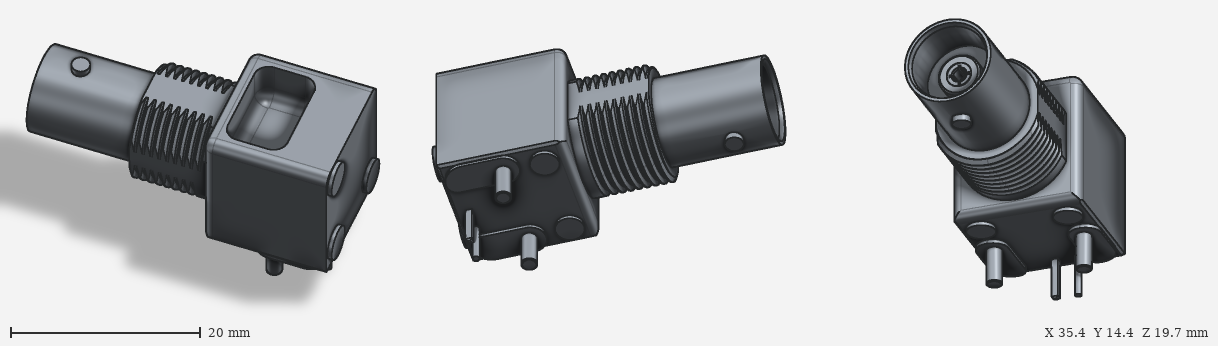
import cadquery as cq

BARREL_DIAMETER = 9.65
BORE_DIAMETER = 8.4
BORE_FLOOR_DIAMETER = 8.0
MOUTH_DIAMETER = 8.86
MOUTH_DEPTH = 0.5
BORE_DEPTH = 4.8
STUD_DIAMETER = 1.98
STUD_X = 4.26
STUD_REACH = 5.54

INSULATOR_DIAMETER = 4.7
INSULATOR_LENGTH = 1.4
INSULATOR_CHAMFER = 0.22
CONTACT_RECESS_DIAMETER = 2.74
CONTACT_RECESS_DEPTH = 0.1
CONTACT_DIAMETER = 2.24
CONTACT_LEAD_IN_DIAMETER = 1.72
CONTACT_BORE_DIAMETER = 1.42
CONTACT_BORE_DEPTH = 2.0
CONTACT_TIP_DEPTH = 0.5
CONTACT_SLOT_WIDTH = 0.25

BUSHING_START_X = 12.0
THREAD_DIAMETER = 12.7
THREAD_ROOT_DIAMETER = 11.62
THREAD_PITCH = 25.4 / 28
FULL_THREAD_TURNS = 9
LAST_THREAD_TURN = 0.75
THREAD_START_X = BUSHING_START_X - 1.02 * THREAD_PITCH
THREAD_CREST_WIDTH = THREAD_PITCH * 7 / 8
THREAD_ROOT_WIDTH = THREAD_PITCH / 4
BUSHING_CHAMFER_LENGTH = 0.25
BUSHING_CHAMFER_HEIGHT = 0.45
CUTTER_OVERLAP = 0.05
BUSHING_SIDE_FLAT = 5.7
BUSHING_TOP_FLAT = 5.54

HOUSING_FRONT_X = 20.9
HOUSING_REAR_X = 34.9
HOUSING_LENGTH = HOUSING_REAR_X - HOUSING_FRONT_X
HOUSING_WIDTH = 14.4
HOUSING_TOP_Z = 7.55
HOUSING_BOTTOM_Z = -7.55
HOUSING_HEIGHT = HOUSING_TOP_Z - HOUSING_BOTTOM_Z
TOP_EDGE_RADIUS = 1.2
FRONT_EDGE_RADIUS = 1.05
BOTTOM_CHAMFER = 0.3

POCKET_LENGTH = 6.75
POCKET_WIDTH = 10.85
POCKET_CENTRE_X = 25.8
POCKET_DEPTH = 4.85
POCKET_CORNER_RADIUS = 1.6
POCKET_FLOOR_RADIUS = 1.5

REAR_BOSS_DIAMETER = 3.8
REAR_BOSS_HEIGHT = 0.5
REAR_BOSS_CENTRES = ((-5.05, 5.55), (-5.05, -4.65), (4.95, -4.65))

STANDOFF_BOTTOM_Z = -8.0
STANDOFF_HEIGHT = HOUSING_BOTTOM_Z - STANDOFF_BOTTOM_Z
FRONT_STANDOFF_DIAMETER = 3.13
FRONT_STANDOFF_X = 23.66
FRONT_STANDOFF_Y = 4.87
PAD_START_X = 26.35
PAD_END_X = 34.5
PAD_INNER_Y = 3.42
PAD_OUTER_Y = 6.98
PAD_FRONT_RADIUS = 1.75
PAD_REAR_OUTER_RADIUS = 2.3
PAD_REAR_INNER_RADIUS = 1.2

POST_DIAMETER = 1.72
POST_X = 28.15
POST_Y = 5.03
POST_BOTTOM_Z = -12.03
POST_CHAMFER = 0.12
PIN_SIZE = 0.72
PIN_X = 33.27
GROUND_PIN_Y = -2.54
PIN_BOTTOM_Z = -12.15
PIN_TIP_CHAMFER = 0.2


def rod_x(diameter, start_x, end_x, y=0, z=0):
    """Round rod parallel to X."""
    return (
        cq.Workplane("YZ", origin=(start_x, y, z))
        .circle(diameter / 2)
        .extrude(end_x - start_x)
    )


def rod_down(diameter, x, y, top_z, bottom_z):
    """Round rod parallel to Z."""
    return (
        cq.Workplane("XY", origin=(x, y, bottom_z))
        .circle(diameter / 2)
        .extrude(top_z - bottom_z)
    )


def make_housing_block():
    block = cq.Workplane("XY").box(
        HOUSING_LENGTH, HOUSING_WIDTH, HOUSING_HEIGHT, centered=(False, True, False)
    )
    return block.translate((HOUSING_FRONT_X, 0, HOUSING_BOTTOM_Z))


def make_housing():
    rounded = make_housing_block().edges("|X and >Z").fillet(TOP_EDGE_RADIUS)
    rounded = rounded.faces("<X").edges().fillet(FRONT_EDGE_RADIUS)
    chamfered = make_housing_block().edges("(|X and <Z) or (>X and <Z)").chamfer(BOTTOM_CHAMFER)
    return rounded.intersect(chamfered).cut(make_pocket())


def make_pocket():
    pocket = (
        cq.Workplane("XY", origin=(POCKET_CENTRE_X, 0, HOUSING_TOP_Z))
        .rect(POCKET_LENGTH, POCKET_WIDTH)
        .extrude(-POCKET_DEPTH)
    )
    pocket = pocket.edges("|Z").fillet(POCKET_CORNER_RADIUS)
    return pocket.faces("<Z").edges().fillet(POCKET_FLOOR_RADIUS)


def make_groove(turns, start_x):
    """Helical groove around the barrel axis, starting below the axis at start_x."""
    root_radius = THREAD_ROOT_DIAMETER / 2
    crest_radius = THREAD_DIAMETER / 2
    flank_slope = (THREAD_CREST_WIDTH - THREAD_ROOT_WIDTH) / 2 / (crest_radius - root_radius)
    outer_radius = crest_radius + CUTTER_OVERLAP
    outer_half_width = THREAD_CREST_WIDTH / 2 + CUTTER_OVERLAP * flank_slope
    root_half_width = THREAD_ROOT_WIDTH / 2
    helix = cq.Wire.makeHelix(THREAD_PITCH, THREAD_PITCH * turns, root_radius)
    groove = (
        cq.Workplane("XZ")
        .moveTo(root_radius, -root_half_width)
        .lineTo(outer_radius, -outer_half_width)
        .lineTo(outer_radius, outer_half_width)
        .lineTo(root_radius, root_half_width)
        .close()
        .sweep(cq.Workplane(helix), isFrenet=True)
    )
    groove = groove.rotate((0, 0, 0), (0, 1, 0), 90)
    return groove.translate((start_x, 0, 0))


def make_bushing():
    bottom_z = -THREAD_DIAMETER / 2
    flats = cq.Workplane("XY").box(
        HOUSING_FRONT_X,
        2 * BUSHING_SIDE_FLAT,
        BUSHING_TOP_FLAT - bottom_z,
        centered=(False, True, False),
    )
    bushing = rod_x(THREAD_DIAMETER, BUSHING_START_X, HOUSING_FRONT_X)
    bushing = bushing.faces("<X").chamfer(BUSHING_CHAMFER_LENGTH, BUSHING_CHAMFER_HEIGHT)
    bushing = bushing.intersect(flats.translate((0, 0, bottom_z)))
    for turn in range(FULL_THREAD_TURNS):
        bushing = bushing.cut(make_groove(1, THREAD_START_X + turn * THREAD_PITCH))
    last_start_x = THREAD_START_X + FULL_THREAD_TURNS * THREAD_PITCH
    return bushing.cut(make_groove(LAST_THREAD_TURN, last_start_x))


def make_barrel():
    barrel = rod_x(BARREL_DIAMETER, 0, HOUSING_FRONT_X)
    studs = rod_down(STUD_DIAMETER, STUD_X, 0, STUD_REACH, -STUD_REACH)
    barrel = barrel.union(studs)
    bore = (
        cq.Workplane("XY")
        .lineTo(0, MOUTH_DIAMETER / 2)
        .lineTo(MOUTH_DEPTH, BORE_DIAMETER / 2)
        .lineTo(BORE_DEPTH, BORE_FLOOR_DIAMETER / 2)
        .lineTo(BORE_DEPTH, 0)
        .close()
        .revolve(360, (0, 0, 0), (1, 0, 0))
    )
    return barrel.cut(bore).union(make_insulator()).cut(make_contact_socket())


def make_insulator():
    insulator = rod_x(INSULATOR_DIAMETER, BORE_DEPTH - INSULATOR_LENGTH, BORE_DEPTH)
    return insulator.faces("<X").chamfer(INSULATOR_CHAMFER)


def make_contact_socket():
    """Hollow of the socket contact: recess, tapered lead-in, bore and four slots."""
    face_x = BORE_DEPTH - INSULATOR_LENGTH
    rim_x = face_x + CONTACT_RECESS_DEPTH
    lead_in_radius = CONTACT_LEAD_IN_DIAMETER / 2
    bore_radius = CONTACT_BORE_DIAMETER / 2
    bore_end_x = rim_x + CONTACT_BORE_DEPTH
    socket = (
        cq.Workplane("XY")
        .moveTo(face_x, 0)
        .lineTo(face_x, CONTACT_RECESS_DIAMETER / 2)
        .lineTo(rim_x, CONTACT_RECESS_DIAMETER / 2)
        .lineTo(rim_x, lead_in_radius)
        .lineTo(rim_x + lead_in_radius - bore_radius, bore_radius)
        .lineTo(bore_end_x, bore_radius)
        .lineTo(bore_end_x + CONTACT_TIP_DEPTH, 0)
        .close()
        .revolve(360, (0, 0, 0), (1, 0, 0))
    )
    slots = (
        cq.Workplane("YZ", origin=(rim_x, 0, 0))
        .rect(CONTACT_DIAMETER, CONTACT_SLOT_WIDTH)
        .extrude(CONTACT_BORE_DEPTH)
    )
    crossed_slots = slots.rotate((0, 0, 0), (1, 0, 0), 90)
    return socket.union(slots).union(crossed_slots)


def make_rear_bosses():
    bosses = cq.Workplane("XY")
    for boss_y, boss_z in REAR_BOSS_CENTRES:
        boss_end_x = HOUSING_REAR_X + REAR_BOSS_HEIGHT
        bosses = bosses.add(rod_x(REAR_BOSS_DIAMETER, HOUSING_REAR_X, boss_end_x, boss_y, boss_z))
    return bosses.combine()


def make_foot():
    """Standoff, pad and board post on the +Y side."""
    standoff = rod_down(
        FRONT_STANDOFF_DIAMETER,
        FRONT_STANDOFF_X,
        FRONT_STANDOFF_Y,
        HOUSING_BOTTOM_Z,
        STANDOFF_BOTTOM_Z,
    )
    pad = (
        cq.Workplane("XY", origin=(PAD_START_X, PAD_INNER_Y, STANDOFF_BOTTOM_Z))
        .rect(PAD_END_X - PAD_START_X, PAD_OUTER_Y - PAD_INNER_Y, centered=False)
        .extrude(STANDOFF_HEIGHT)
    )
    pad = pad.edges("|Z and <X").fillet(PAD_FRONT_RADIUS)
    pad = pad.edges("|Z and >X and >Y").fillet(PAD_REAR_OUTER_RADIUS)
    pad = pad.edges("|Z and >X and <Y").fillet(PAD_REAR_INNER_RADIUS)
    post = rod_down(POST_DIAMETER, POST_X, POST_Y, HOUSING_BOTTOM_Z, POST_BOTTOM_Z)
    post = post.faces("<Z").chamfer(POST_CHAMFER)
    return standoff.union(pad).union(post)


def make_pins():
    """Square signal pin with a tapered tip and round ground pin."""
    signal_pin = (
        cq.Workplane("XY", origin=(PIN_X, 0, PIN_BOTTOM_Z))
        .rect(PIN_SIZE, PIN_SIZE)
        .extrude(HOUSING_BOTTOM_Z - PIN_BOTTOM_Z)
    )
    signal_pin = signal_pin.faces("<Z").chamfer(PIN_TIP_CHAMFER)
    ground_pin = rod_down(PIN_SIZE, PIN_X, GROUND_PIN_Y, HOUSING_BOTTOM_Z, PIN_BOTTOM_Z)
    return signal_pin.add(ground_pin).combine()


foot = make_foot()
result = make_housing()
result = result.union(make_bushing())
result = result.union(make_barrel())
result = result.union(make_rear_bosses())
result = result.union(foot)
result = result.union(foot.mirror("XZ"))
result = result.union(make_pins())